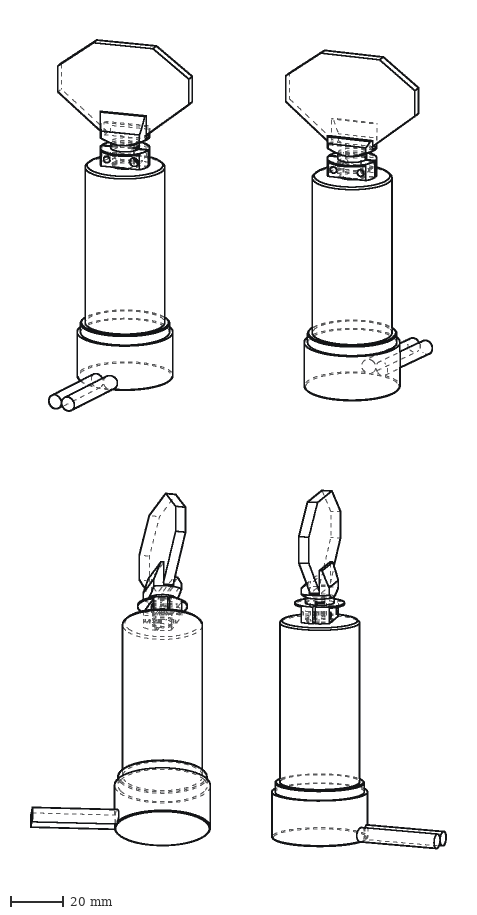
import cadquery as cq
import math

base_dia = 36.5
base_top = 17.7
step_dia = 34.0
step_top = 21.6
barrel_dia = 30.5
barrel_top = 84.2
barrel_chamfer = 0.8
edge_chamfer = 0.4
shaft_dia = 7.0
shaft_top = 92.4

cable_dia = 5.5
cable_spacing = 5.7
cable_height = 2.9
cable_length = 50.2
cable_angle = 11.2
cable_start_x = 0.9

holder_dia = 19.0
holder_width = 11.0
boss_dia = 10.0
collar_bottom = 84.7
collar_top = 91.2
flange_thickness = 0.5
neck_dia = 11.0
cone_bottom = 93.6
cone_top = 95.7
front_shoulder = 98.7
front_top = 105.4
front_tip_y = 3.0
back_shoulder = 97.9
back_top = 99.8
back_tip_y = 3.6
split_width = 0.8
split_leg_length = 2.8
split_leg_height = 0.4
screw_hole_dia = 2.5
screw_clearance_dia = 3.3
screw_hole_x = 5.5
screw_hole_z = 87.5

paddle_width = 52.8
paddle_thickness = 4.0
paddle_bottom = 96.3
paddle_lower_corner = 111.5
paddle_upper_corner = 121.7
paddle_top = 132.4
paddle_top_width = 24.0
paddle_bottom_width = 15.4


def disc(diameter, bottom, top):
    """Upright cylinder on the Z axis between two heights."""
    return cq.Workplane("XY").workplane(offset=bottom).circle(diameter / 2).extrude(top - bottom)


def block(y_min, y_max, z_min, z_max):
    """Box across the full holder diameter in X."""
    return (
        cq.Workplane("XY")
        .box(holder_dia, y_max - y_min, z_max - z_min, centered=(True, False, False))
        .translate((0, y_min, z_min))
    )


def make_cable(side):
    """One cable, offset to one side of the pair's centre line."""
    angle = math.radians(cable_angle)
    direction = cq.Vector(-math.sin(angle), -math.cos(angle), 0)
    sideways = cq.Vector(math.cos(angle), -math.sin(angle), 0)
    middle = cq.Vector(cable_start_x, 0, cable_height)
    start_distance = cable_start_x * math.sin(angle)
    start = middle + direction * start_distance + sideways * (side * cable_spacing / 2)
    cable = cq.Solid.makeCylinder(cable_dia / 2, cable_length - start_distance, start, direction)
    return cq.Workplane(cable)


def make_motor():
    """Housing, output shaft and cables."""
    motor = disc(base_dia, 0, base_top).faces("<Z").chamfer(edge_chamfer)
    motor = motor.union(disc(step_dia, base_top, step_top).faces(">Z").chamfer(edge_chamfer))
    motor = motor.union(disc(barrel_dia, step_top, barrel_top).faces(">Z").chamfer(barrel_chamfer))
    motor = motor.union(disc(shaft_dia, barrel_top, shaft_top))
    for side in (-1, 1):
        motor = motor.union(make_cable(side))
    return motor


def make_holder_head():
    """Round head on a cone, trimmed by a side profile with two unequal lobes."""
    head = (
        cq.Workplane("XZ")
        .moveTo(0, cone_bottom)
        .lineTo(neck_dia / 2, cone_bottom)
        .lineTo(holder_dia / 2, cone_top)
        .lineTo(holder_dia / 2, front_top)
        .lineTo(0, front_top)
        .close()
        .revolve(360, (0, 0, 0), (0, 1, 0))
    )
    half_width = holder_width / 2
    side_profile = (
        cq.Workplane("YZ")
        .polyline([
            (-half_width, cone_bottom),
            (half_width, cone_bottom),
            (half_width, back_shoulder),
            (back_tip_y, back_top),
            (0, back_top),
            (0, front_top),
            (-front_tip_y, front_top),
            (-half_width, front_shoulder),
        ])
        .close()
        .extrude(holder_dia / 2, both=True)
    )
    seat = block(-paddle_thickness / 2, paddle_thickness / 2, paddle_bottom, front_top)
    return head.intersect(side_profile).cut(seat)


def screw_hole(diameter, x, y_near, y_far):
    """Cutter for a round hole along Y."""
    direction = cq.Vector(0, 1, 0)
    start = cq.Vector(x, y_near, screw_hole_z)
    return cq.Workplane(cq.Solid.makeCylinder(diameter / 2, y_far - y_near, start, direction))


def make_holder():
    """Flat-sided split collar under a thin round flange, with neck and slotted head."""
    half_width = holder_width / 2
    flange_bottom = collar_top - flange_thickness
    collar = disc(holder_dia, collar_bottom, flange_bottom)
    holder = collar.intersect(block(-half_width, half_width, collar_bottom, flange_bottom))
    holder = holder.union(disc(boss_dia, barrel_top, collar_bottom))
    holder = holder.union(disc(holder_dia, flange_bottom, collar_top))
    holder = holder.union(disc(neck_dia, collar_top, cone_bottom))
    holder = holder.union(make_holder_head())

    holder = holder.cut(disc(shaft_dia, barrel_top, shaft_top))
    holder = holder.cut(block(-split_width / 2, split_width / 2, barrel_top, shaft_top))
    holder = holder.cut(block(-split_leg_length, 0, shaft_top - split_leg_height, shaft_top))

    for side in (-1, 1):
        holder = holder.cut(screw_hole(screw_hole_dia, side * screw_hole_x, -half_width, half_width))
    return holder.cut(screw_hole(screw_clearance_dia, screw_hole_x, -half_width, 0))


def make_paddle():
    """Eight-sided flat plate, symmetric about X = 0."""
    right_side = [
        (paddle_bottom_width / 2, paddle_bottom),
        (paddle_width / 2, paddle_lower_corner),
        (paddle_width / 2, paddle_upper_corner),
        (paddle_top_width / 2, paddle_top),
    ]
    left_side = [(-x, z) for x, z in reversed(right_side)]
    outline = cq.Workplane("XZ").polyline(right_side + left_side).close()
    return outline.extrude(paddle_thickness / 2, both=True)


motor = make_motor()
holder = make_holder()
paddle = make_paddle()

result = cq.Compound.makeCompound([body.solids().val() for body in (motor, holder, paddle)])